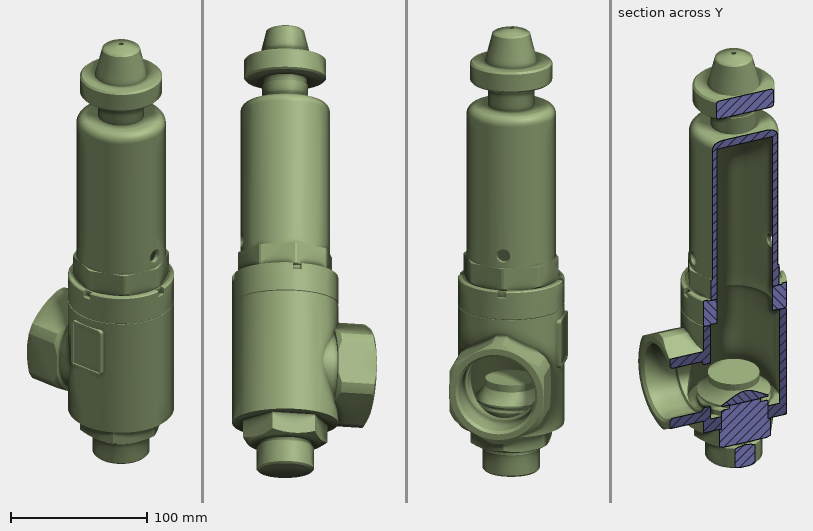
import cadquery as cq
import math


THREAD_TOP_Z = 17.0
HEX_BOTTOM_Z = 20.5
HOUSING_BOTTOM_Z = 36.3
CAVITY_FLOOR_Z = 47.0
NOZZLE_SHOULDER_Z = 52.2
DISC_BOTTOM_Z = 55.0
RING_BOTTOM_Z = 126.5
BONNET_BOTTOM_Z = 147.0
RING_TOP_Z = 148.0
OCTAGON_TOP_Z = 164.5
BONNET_TOP_Z = 280.0
KNOB_BOTTOM_Z = 298.3
VALVE_TOP_Z = 339.0

THREAD_RADIUS = 21.0
THREAD_CHAMFER = 1.5
RELIEF_RADIUS = 19.3
RELIEF_HEIGHT = 1.7
INLET_HEX_FLATS = 55.3
INLET_HEX_FACE_RADIUS = 26.0
INLET_HEX_CHAMFER_ANGLE = 30.0
NOZZLE_RADIUS = 27.0
NOZZLE_CHAMFER = 1.0
NOZZLE_SEAT_RADIUS = 23.0

DISC_HUB_RADIUS = 19.0
DISC_RIM_RADIUS = 27.0
DISC_RIM_HEIGHT = 1.5
DISC_FLARE_HEIGHT = 8.5
DISC_HUB_HEIGHT = 5.5
FLARE_MID_RADIUS = 22.0
FLARE_MID_HEIGHT = 4.5

HOUSING_RADIUS = 39.0
CAVITY_RADIUS = 34.0

OUTLET_Z = 76.0
OUTLET_FACE_X = -61.0
OUTLET_HEX_LENGTH = 29.0
OUTLET_HEX_FLATS = 70.5
OUTLET_HEX_TURNED_RADIUS = 38.5
OUTLET_HEX_FACE_RADIUS = 35.0
OUTLET_HEX_CHAMFER = 2.0
OUTLET_HEX_BACK_CHAMFER = 2.7
OUTLET_NECK_RADIUS = 33.0
OUTLET_THREAD_RADIUS = 28.5
OUTLET_THREAD_DEPTH = 26.0
OUTLET_STEP_LENGTH = 1.0
OUTLET_MOUTH_RADIUS = 30.5
OUTLET_BORE_RADIUS = 26.5

BADGE_WIDTH = 28.5
BADGE_HEIGHT = 37.0
BADGE_BOTTOM_Z = 83.5
BADGE_FACE_Y = -39.5
BADGE_CORNER_RADIUS = 2.7
BADGE_RIM = 1.7
BADGE_RECESS = 1.0

RING_CHAMFER = 0.7
SLOT_COUNT = 4
SLOT_WIDTH = 6.5
SLOT_HEIGHT = 5.0
SLOT_INNER_RADIUS = 35.3
RING_RECESS_RADIUS = 35.5

BONNET_RADIUS = 33.0
BONNET_FILLET = 6.8
BONNET_WALL = 3.5
SPRING_CHAMBER_RADIUS = BONNET_RADIUS - BONNET_WALL
OCTAGON_TURNED_RADIUS = 35.3
OCTAGON_CHAMFER = 2.0
VENT_RADIUS = 5.0
VENT_Z = 174.0

STEM_RADIUS = 17.0
STEM_UPPER_RADIUS = 16.0
STEM_STEP_Z = 293.5

KNOB_FLANGE_RADIUS = 30.2
KNOB_FLANGE_HEIGHT = 15.5
KNOB_FLANGE_CHAMFER = 1.5
KNOB_CONE_BASE_RADIUS = 19.3
KNOB_CONE_TOP_RADIUS = 14.0
KNOB_CONE_HEIGHT = 21.5
KNOB_DOME_RADIUS = 12.5
KNOB_DOME_HEIGHT = 2.7
KNOB_DOME_BULGE = 0.5
KNOB_HOLE_RADIUS = 2.0
KNOB_HOLE_DEPTH = 5.0


def disk(radius, bottom, top):
    """Cylinder on the valve axis between two heights."""
    return cq.Workplane("XY").workplane(offset=bottom).circle(radius).extrude(top - bottom)


def revolve_profile(profile):
    """Revolve a closed outline of (radius, height) around the valve axis."""
    return profile.close().revolve(360, (0, 0, 0), (0, 1, 0))


def outlet_rod(radius, start_x, end_x):
    """Cylinder on the outlet axis between two X positions."""
    return (
        cq.Workplane("YZ", origin=(start_x, 0, OUTLET_Z))
        .circle(radius)
        .extrude(end_x - start_x)
    )


def outlet_cone(start_radius, end_radius, start_x, end_x):
    """Cone on the outlet axis, starting and ending at the given radii."""
    return cq.Workplane("XY").add(
        cq.Solid.makeCone(
            start_radius, end_radius, end_x - start_x,
            pnt=cq.Vector(start_x, 0, OUTLET_Z), dir=cq.Vector(1, 0, 0),
        )
    )


def polygon_across_flats(workplane, flats, sides, turn):
    """Regular polygon; turn is the angle of its first corner in degrees."""
    corner_radius = flats / 2 / math.cos(math.pi / sides)
    angles = [math.radians(turn + 360 / sides * i) for i in range(sides)]
    corners = [(corner_radius * math.cos(a), corner_radius * math.sin(a)) for a in angles]
    return workplane.polyline(corners).close()


def make_inlet():
    """Male thread, relief groove, chamfered hexagon and stepped nozzle."""
    thread_tip_radius = THREAD_RADIUS - THREAD_CHAMFER
    relief_bottom = HEX_BOTTOM_Z - RELIEF_HEIGHT
    threaded_end = revolve_profile(
        cq.Workplane("XZ")
        .moveTo(0, 0)
        .lineTo(thread_tip_radius, 0)
        .lineTo(THREAD_RADIUS, THREAD_CHAMFER)
        .lineTo(THREAD_RADIUS, THREAD_TOP_Z)
        .lineTo(RELIEF_RADIUS, relief_bottom)
        .lineTo(RELIEF_RADIUS, HEX_BOTTOM_Z)
        .lineTo(0, HEX_BOTTOM_Z)
    )
    hexagon_height = HOUSING_BOTTOM_Z - HEX_BOTTOM_Z
    hexagon = polygon_across_flats(
        cq.Workplane("XY").workplane(offset=HEX_BOTTOM_Z), INLET_HEX_FLATS, 6, 0
    ).extrude(hexagon_height)
    chamfer_spread = hexagon_height / math.tan(math.radians(INLET_HEX_CHAMFER_ANGLE))
    chamfer_cone = revolve_profile(
        cq.Workplane("XZ")
        .moveTo(0, HEX_BOTTOM_Z)
        .lineTo(INLET_HEX_FACE_RADIUS, HEX_BOTTOM_Z)
        .lineTo(INLET_HEX_FACE_RADIUS + chamfer_spread, HOUSING_BOTTOM_Z)
        .lineTo(0, HOUSING_BOTTOM_Z)
    )
    nozzle = disk(NOZZLE_RADIUS, HOUSING_BOTTOM_Z, NOZZLE_SHOULDER_Z)
    nozzle = nozzle.faces(">Z").edges().chamfer(NOZZLE_CHAMFER)
    seat = disk(NOZZLE_SEAT_RADIUS, NOZZLE_SHOULDER_Z, DISC_BOTTOM_Z)
    return threaded_end.union(hexagon.intersect(chamfer_cone)).union(nozzle).union(seat)


def make_disc():
    """Valve disc resting on the nozzle, flared out to its rim."""
    rim_top = DISC_BOTTOM_Z + DISC_RIM_HEIGHT
    flare_top = rim_top + DISC_FLARE_HEIGHT
    hub_top = flare_top + DISC_HUB_HEIGHT
    return revolve_profile(
        cq.Workplane("XZ")
        .moveTo(0, DISC_BOTTOM_Z)
        .lineTo(DISC_RIM_RADIUS, DISC_BOTTOM_Z)
        .lineTo(DISC_RIM_RADIUS, rim_top)
        .threePointArc((FLARE_MID_RADIUS, rim_top + FLARE_MID_HEIGHT), (DISC_HUB_RADIUS, flare_top))
        .lineTo(DISC_HUB_RADIUS, hub_top)
        .lineTo(0, hub_top)
    )


def make_outlet_hexagon():
    """Outlet hexagon with turned corners, chamfered at both ends."""
    end_x = OUTLET_FACE_X + OUTLET_HEX_LENGTH
    hexagon = polygon_across_flats(
        cq.Workplane("YZ", origin=(OUTLET_FACE_X, 0, OUTLET_Z)), OUTLET_HEX_FLATS, 6, 30
    ).extrude(OUTLET_HEX_LENGTH)
    front_x = OUTLET_FACE_X + OUTLET_HEX_CHAMFER
    back_x = end_x - OUTLET_HEX_BACK_CHAMFER
    back_radius = OUTLET_HEX_TURNED_RADIUS - OUTLET_HEX_BACK_CHAMFER
    turned = (
        outlet_cone(OUTLET_HEX_FACE_RADIUS, OUTLET_HEX_TURNED_RADIUS, OUTLET_FACE_X, front_x)
        .union(outlet_rod(OUTLET_HEX_TURNED_RADIUS, front_x, back_x))
        .union(outlet_cone(OUTLET_HEX_TURNED_RADIUS, back_radius, back_x, end_x))
    )
    return hexagon.intersect(turned)


def make_outlet_bore():
    """Outlet passage: mouth chamfer, thread bore, step cone and bore to the cavity."""
    mouth_end = OUTLET_FACE_X + OUTLET_MOUTH_RADIUS - OUTLET_THREAD_RADIUS
    thread_end = OUTLET_FACE_X + OUTLET_THREAD_DEPTH
    step_end = thread_end + OUTLET_STEP_LENGTH
    return (
        outlet_cone(OUTLET_MOUTH_RADIUS, OUTLET_THREAD_RADIUS, OUTLET_FACE_X, mouth_end)
        .union(outlet_rod(OUTLET_THREAD_RADIUS, mouth_end, thread_end))
        .union(outlet_cone(OUTLET_THREAD_RADIUS, OUTLET_BORE_RADIUS, thread_end, step_end))
        .union(outlet_rod(OUTLET_BORE_RADIUS, step_end, 0))
    )


def badge_block(inset, start_y, end_y):
    """Rectangular block of the badge outline, shrunk all round by the inset."""
    center_z = BADGE_BOTTOM_Z + BADGE_HEIGHT / 2
    return (
        cq.Workplane("XZ", origin=(0, start_y, center_z))
        .rect(BADGE_WIDTH - 2 * inset, BADGE_HEIGHT - 2 * inset)
        .extrude(start_y - end_y)
    )


def make_housing():
    """Round housing with outlet, badge, cavity and nozzle seat."""
    outlet_neck = outlet_rod(OUTLET_NECK_RADIUS, OUTLET_FACE_X + OUTLET_HEX_LENGTH, 0)
    badge = badge_block(0, -CAVITY_RADIUS, BADGE_FACE_Y).edges("|Y").fillet(BADGE_CORNER_RADIUS)
    badge_recess = badge_block(BADGE_RIM, BADGE_FACE_Y + BADGE_RECESS, BADGE_FACE_Y)
    return (
        disk(HOUSING_RADIUS, HOUSING_BOTTOM_Z, RING_BOTTOM_Z)
        .union(outlet_neck)
        .union(make_outlet_hexagon())
        .union(badge)
        .cut(badge_recess)
        .cut(disk(CAVITY_RADIUS, CAVITY_FLOOR_Z, RING_BOTTOM_Z))
        .cut(disk(NOZZLE_RADIUS, HOUSING_BOTTOM_Z, CAVITY_FLOOR_Z))
        .cut(make_outlet_bore())
    )


def make_ring():
    """Ring on top of the housing: wrench slots in its upper edge, recess for the bonnet foot."""
    ring = disk(HOUSING_RADIUS, RING_BOTTOM_Z, RING_TOP_Z)
    ring = ring.edges().chamfer(RING_CHAMFER)
    ring = ring.cut(disk(RING_RECESS_RADIUS, BONNET_BOTTOM_Z, RING_TOP_Z))
    ring = ring.cut(disk(SPRING_CHAMBER_RADIUS, RING_BOTTOM_Z, RING_TOP_Z))
    slot_depth = HOUSING_RADIUS - SLOT_INNER_RADIUS
    slot = cq.Workplane("XY").box(slot_depth, SLOT_WIDTH, SLOT_HEIGHT, centered=(False, True, False))
    slot = slot.translate((SLOT_INNER_RADIUS, 0, RING_TOP_Z - SLOT_HEIGHT))
    for i in range(SLOT_COUNT):
        ring = ring.cut(slot.rotate((0, 0, 0), (0, 0, 1), i * 360 / SLOT_COUNT))
    return ring


def make_bonnet():
    """Spring bonnet: octagonal foot, round hollow barrel and a cross vent along X."""
    octagon = polygon_across_flats(
        cq.Workplane("XY").workplane(offset=BONNET_BOTTOM_Z), 2 * BONNET_RADIUS, 8, 0
    ).extrude(OCTAGON_TOP_Z - BONNET_BOTTOM_Z)
    turned = disk(OCTAGON_TURNED_RADIUS, BONNET_BOTTOM_Z, OCTAGON_TOP_Z)
    turned = turned.faces("<Z").edges().chamfer(OCTAGON_CHAMFER)
    barrel = disk(BONNET_RADIUS, OCTAGON_TOP_Z, BONNET_TOP_Z)
    barrel = barrel.faces(">Z").edges().fillet(BONNET_FILLET)
    vent = (
        cq.Workplane("YZ", origin=(0, 0, VENT_Z))
        .circle(VENT_RADIUS)
        .extrude(BONNET_RADIUS, both=True)
    )
    spring_chamber = disk(SPRING_CHAMBER_RADIUS, BONNET_BOTTOM_Z, BONNET_TOP_Z - BONNET_FILLET)
    return octagon.intersect(turned).union(barrel).cut(spring_chamber).cut(vent)


def make_stem():
    """Stepped stem between bonnet and knob."""
    lower = disk(STEM_RADIUS, BONNET_TOP_Z, STEM_STEP_Z)
    return lower.union(disk(STEM_UPPER_RADIUS, STEM_STEP_Z, KNOB_BOTTOM_Z))


def make_knob():
    """Lifting knob: chamfered flange, cone and domed top with a small hole."""
    flange_top = KNOB_BOTTOM_Z + KNOB_FLANGE_HEIGHT
    flange = disk(KNOB_FLANGE_RADIUS, KNOB_BOTTOM_Z, flange_top).edges().chamfer(KNOB_FLANGE_CHAMFER)
    dome_base = VALVE_TOP_Z - KNOB_DOME_HEIGHT
    cone = revolve_profile(
        cq.Workplane("XZ")
        .moveTo(0, flange_top)
        .lineTo(KNOB_CONE_BASE_RADIUS, flange_top)
        .lineTo(KNOB_CONE_TOP_RADIUS, flange_top + KNOB_CONE_HEIGHT)
        .lineTo(KNOB_DOME_RADIUS, dome_base)
        .sagittaArc((KNOB_HOLE_RADIUS, VALVE_TOP_Z), -KNOB_DOME_BULGE)
        .lineTo(0, VALVE_TOP_Z)
    )
    hole = disk(KNOB_HOLE_RADIUS, VALVE_TOP_Z - KNOB_HOLE_DEPTH, VALVE_TOP_Z)
    return flange.union(cone).cut(hole)


inlet = make_inlet()
disc = make_disc()
housing = make_housing()
ring = make_ring()
bonnet = make_bonnet()
stem = make_stem()
knob = make_knob()

result = cq.Compound.makeCompound(
    [
        inlet.val(),
        disc.val(),
        housing.val(),
        ring.val(),
        bonnet.val(),
        stem.val(),
        knob.val(),
    ]
)